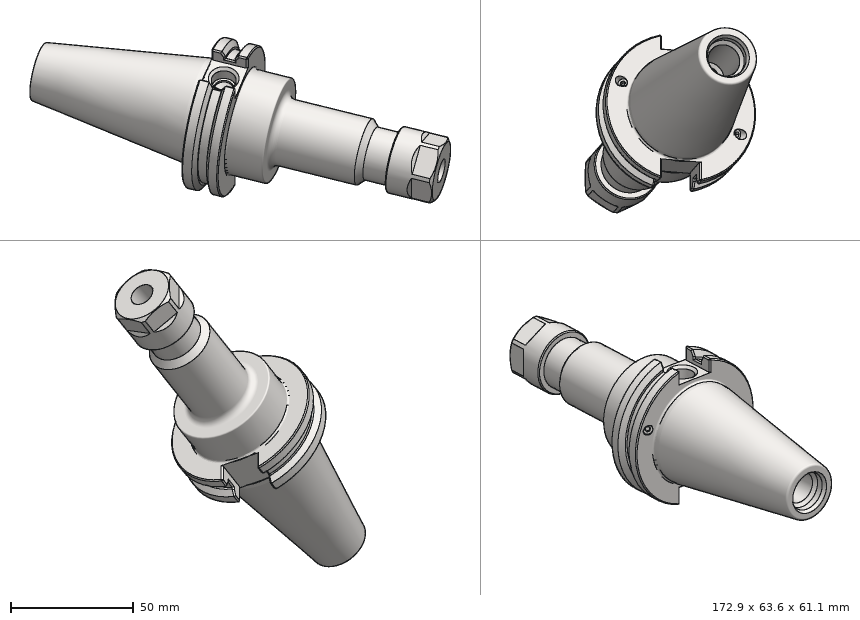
import cadquery as cq
import math


GAUGE_RADIUS = 44.45 / 2
TAPER_LENGTH = 68.4
TAPER_SLOPE = 7 / 24 / 2
TAIL_FILLET = 1.0

FLANGE_START = 3.2
FLANGE_WIDTH = 15.6
FLANGE_RADIUS = 63.55 / 2
FLANGE_EDGE = 0.5
FLANGE_FILLET = 0.8
FLANGE_END = FLANGE_START + FLANGE_WIDTH
GROOVE_CENTRE = 11.1
GROOVE_MOUTH = 7.0
GROOVE_FLOOR_WIDTH = 3.9
GROOVE_FLOOR_RADIUS = 56.25 / 2
GROOVE_FLANK_ANGLE = 30

COLLAR_RADIUS = GAUGE_RADIUS
COLLAR_END = 35.0
COLLAR_FILLET = 0.6
SHANK_RADIUS = 14.0
SHANK_FILLET = 3.0
NECK_RADIUS = 11.2
NECK_START = 74.4
SHOULDER_LENGTH = SHANK_RADIUS - NECK_RADIUS

NUT_LENGTH = 19.8
OVERALL_LENGTH = 172.9
NUT_END = OVERALL_LENGTH - TAPER_LENGTH
NUT_START = NUT_END - NUT_LENGTH
NUT_RADIUS = 14.0
NUT_REAR_CHAMFER = 0.5
NUT_FRONT_CHAMFER = 1.2
NUT_FACE_RADIUS = 12.3
FLAT_COUNT = 6
FLAT_DISTANCE = 25.1 / 2
FLAT_LENGTH = 8.8
NECK_IN_NUT = 10.0

BORE_RADIUS = 10.0 / 2
MOUTH_RADIUS = 18.2 / 2
PILOT_RADIUS = 16.46 / 2
THREAD_RADIUS = 13.39 / 2
MOUTH_DEPTH = 1.7
PILOT_DEPTH = 4.6
THREAD_START_DEPTH = 6.0
THREAD_DEPTH = 30.0
THREAD_TIP_DEPTH = 31.0

SLOT_WIDTH = 16.0
SLOT_CHAMFER = 0.7
TOP_SLOT_FLOOR = 24.5
BOTTOM_SLOT_FLOOR = 22.6

CHIP_HOLE_MOUTH_RADIUS = 12.5 / 2
CHIP_HOLE_RADIUS = 10.13 / 2
CHIP_HOLE_DEPTH = 6.0
CHIP_DRILL_RADIUS = 4.0
CHIP_DRILL_DEPTH = 7.0
DRILL_TIP_ANGLE = 118

PORT_RADIUS = 4.2 / 2
PORT_CIRCLE_RADIUS = 26.9
PORT_ANGLE = 20
PORT_TILT = 36
PORT_DEPTH = 6.0
SCREW_RECESS = 1.8
SOCKET_WIDTH = 2.0
SOCKET_DEPTH = 1.5


def turned(points):
    """Solid of revolution about the X axis from (x, radius) points."""
    return cq.Workplane("XY").polyline(points).close().revolve(360, (0, 0, 0), (1, 0, 0))


def taper_shank():
    tail = -TAPER_LENGTH
    tail_radius = GAUGE_RADIUS - TAPER_LENGTH * TAPER_SLOPE
    fillet_end_radius = tail_radius + TAIL_FILLET * TAPER_SLOPE
    profile = (
        cq.Workplane("XY")
        .moveTo(tail, 0)
        .lineTo(tail, fillet_end_radius - TAIL_FILLET)
        .radiusArc((tail + TAIL_FILLET, fillet_end_radius), TAIL_FILLET)
        .lineTo(0, GAUGE_RADIUS)
        .lineTo(FLANGE_START, GAUGE_RADIUS)
        .lineTo(FLANGE_START, 0)
        .close()
    )
    return profile.revolve(360, (0, 0, 0), (1, 0, 0))


def flange():
    mouth = GROOVE_MOUTH / 2
    floor = GROOVE_FLOOR_WIDTH / 2
    wall_top = FLANGE_RADIUS - (mouth - floor) / math.tan(math.radians(GROOVE_FLANK_ANGLE))
    return turned([
        (FLANGE_START, 0),
        (FLANGE_START, FLANGE_RADIUS - FLANGE_EDGE),
        (FLANGE_START + FLANGE_EDGE, FLANGE_RADIUS),
        (GROOVE_CENTRE - mouth, FLANGE_RADIUS),
        (GROOVE_CENTRE - floor, wall_top),
        (GROOVE_CENTRE - floor, GROOVE_FLOOR_RADIUS),
        (GROOVE_CENTRE + floor, GROOVE_FLOOR_RADIUS),
        (GROOVE_CENTRE + floor, wall_top),
        (GROOVE_CENTRE + mouth, FLANGE_RADIUS),
        (FLANGE_END - FLANGE_EDGE, FLANGE_RADIUS),
        (FLANGE_END, FLANGE_RADIUS - FLANGE_EDGE),
        (FLANGE_END, 0),
    ])


def flange_fillet(face_x, side):
    """Fillet ring between a cylinder of collar size and a flange face; side is the way the face looks."""
    arc_offset = FLANGE_FILLET * (1 - math.sqrt(0.5))
    return (
        cq.Workplane("XY")
        .moveTo(face_x, COLLAR_RADIUS)
        .lineTo(face_x, COLLAR_RADIUS + FLANGE_FILLET)
        .threePointArc(
            (face_x + side * arc_offset, COLLAR_RADIUS + arc_offset),
            (face_x + side * FLANGE_FILLET, COLLAR_RADIUS),
        )
        .close()
        .revolve(360, (0, 0, 0), (1, 0, 0))
    )


def drive_slot(floor_height, side):
    """Cutter for one slot; side is +1 for the +Z slot and -1 for the -Z slot."""
    depth = FLANGE_RADIUS
    return cq.Workplane("XY").box(FLANGE_WIDTH, SLOT_WIDTH, depth).translate(
        (FLANGE_START + FLANGE_WIDTH / 2, 0, side * (floor_height + depth / 2))
    )


def slotted_flange():
    """Flange with both drive slots, the edges of the slot walls chamfered."""
    body = flange().cut(drive_slot(TOP_SLOT_FLOOR, 1)).cut(drive_slot(BOTTOM_SLOT_FLOOR, -1))
    wall_edges = [
        edge
        for edge in body.faces("|Y").edges().vals()
        if edge.Center().z > TOP_SLOT_FLOOR + SLOT_CHAMFER
        or edge.Center().z < -BOTTOM_SLOT_FLOOR - SLOT_CHAMFER
    ]
    return body.newObject(wall_edges).chamfer(SLOT_CHAMFER)


def front_shank():
    fillet_end = COLLAR_END + SHANK_FILLET
    arc_offset = SHANK_FILLET * (1 - math.sqrt(0.5))
    neck_end = NUT_START + NECK_IN_NUT
    profile = (
        cq.Workplane("XY")
        .moveTo(FLANGE_START, 0)
        .lineTo(FLANGE_START, COLLAR_RADIUS)
        .lineTo(COLLAR_END - COLLAR_FILLET, COLLAR_RADIUS)
        .radiusArc((COLLAR_END, COLLAR_RADIUS - COLLAR_FILLET), COLLAR_FILLET)
        .lineTo(COLLAR_END, SHANK_RADIUS + SHANK_FILLET)
        .threePointArc(
            (COLLAR_END + arc_offset, SHANK_RADIUS + arc_offset),
            (fillet_end, SHANK_RADIUS),
        )
        .lineTo(NECK_START - SHOULDER_LENGTH, SHANK_RADIUS)
        .lineTo(NECK_START, NECK_RADIUS)
        .lineTo(neck_end, NECK_RADIUS)
        .lineTo(neck_end, 0)
        .close()
    )
    return profile.revolve(360, (0, 0, 0), (1, 0, 0))


def axial_bore():
    tail = -TAPER_LENGTH
    return turned([
        (tail, 0),
        (tail, MOUTH_RADIUS),
        (tail + MOUTH_DEPTH, PILOT_RADIUS),
        (tail + PILOT_DEPTH, PILOT_RADIUS),
        (tail + THREAD_START_DEPTH, THREAD_RADIUS),
        (tail + THREAD_DEPTH, THREAD_RADIUS),
        (tail + THREAD_TIP_DEPTH, BORE_RADIUS),
        (NUT_END, BORE_RADIUS),
        (NUT_END, 0),
    ])


def chip_hole():
    """Cutter with its axis along Z, drilled down from the floor of the top slot."""
    top = TOP_SLOT_FLOOR
    chamfer = CHIP_HOLE_MOUTH_RADIUS - CHIP_HOLE_RADIUS
    tip = CHIP_DRILL_RADIUS / math.tan(math.radians(DRILL_TIP_ANGLE / 2))
    profile = cq.Workplane("XZ").polyline([
        (0, top),
        (CHIP_HOLE_MOUTH_RADIUS, top),
        (CHIP_HOLE_RADIUS, top - chamfer),
        (CHIP_HOLE_RADIUS, top - CHIP_HOLE_DEPTH),
        (CHIP_DRILL_RADIUS, top - CHIP_HOLE_DEPTH),
        (CHIP_DRILL_RADIUS, top - CHIP_DRILL_DEPTH),
        (0, top - CHIP_DRILL_DEPTH - tip),
    ]).close()
    cutter = profile.revolve(360, (0, 0, 0), (0, 1, 0))
    return cutter.translate((GROOVE_CENTRE, 0, 0))


def port_plane(angle):
    """Plane at the mouth of a port, with its normal slanting inwards towards the axis."""
    radial = cq.Vector(0, math.cos(math.radians(angle)), math.sin(math.radians(angle)))
    tilt = math.radians(PORT_TILT)
    inwards = cq.Vector(math.cos(tilt), 0, 0) - radial * math.sin(tilt)
    sideways = cq.Vector(1, 0, 0).cross(radial)
    mouth = cq.Vector(FLANGE_START, 0, 0) + radial * PORT_CIRCLE_RADIUS
    return cq.Plane(origin=mouth, xDir=sideways, normal=inwards)


def coolant_port(angle):
    """Cutter for one slanted port, starting outside the flange face."""
    start = -2 * PORT_RADIUS
    return (
        cq.Workplane(port_plane(angle)).workplane(offset=start)
        .circle(PORT_RADIUS).extrude(PORT_DEPTH - start)
    )


def set_screw(angle):
    """Screw with a hexagon socket, resting on the bottom of its port."""
    socket_diameter = SOCKET_WIDTH / math.cos(math.pi / 6)
    head = cq.Workplane(port_plane(angle)).workplane(offset=SCREW_RECESS)
    body = head.circle(PORT_RADIUS).extrude(PORT_DEPTH - SCREW_RECESS)
    return body.cut(head.polygon(6, socket_diameter).extrude(SOCKET_DEPTH))


def clamping_nut():
    nut = turned([
        (NUT_START, 0),
        (NUT_START, NUT_RADIUS - NUT_REAR_CHAMFER),
        (NUT_START + NUT_REAR_CHAMFER, NUT_RADIUS),
        (NUT_END - NUT_FRONT_CHAMFER, NUT_RADIUS),
        (NUT_END, NUT_FACE_RADIUS),
        (NUT_END, 0),
    ])
    flat_start = NUT_END - FLAT_LENGTH
    run_out = NUT_RADIUS - FLAT_DISTANCE
    flat_cutter = (
        cq.Workplane("XY")
        .polyline([
            (flat_start, -FLAT_DISTANCE),
            (flat_start - run_out, -NUT_RADIUS),
            (NUT_END, -NUT_RADIUS),
            (NUT_END, -FLAT_DISTANCE),
        ])
        .close()
        .extrude(NUT_RADIUS, both=True)
    )
    for index in range(FLAT_COUNT):
        nut = nut.cut(flat_cutter.rotate((0, 0, 0), (1, 0, 0), index * 360 / FLAT_COUNT))
    neck_recess = (
        cq.Workplane("YZ").workplane(offset=NUT_START)
        .circle(NECK_RADIUS).extrude(NECK_IN_NUT)
    )
    return nut.cut(neck_recess).cut(axial_bore())


PORT_ANGLES = [PORT_ANGLE, PORT_ANGLE + 180]

holder = slotted_flange().union(taper_shank()).union(front_shank())
holder = holder.union(flange_fillet(FLANGE_START, -1)).union(flange_fillet(FLANGE_END, 1))
holder = holder.cut(axial_bore()).cut(chip_hole())
for port_angle in PORT_ANGLES:
    holder = holder.cut(coolant_port(port_angle))

nut = clamping_nut()
screws = [set_screw(port_angle) for port_angle in PORT_ANGLES]

result = cq.Compound.makeCompound([holder.val(), nut.val(), *[screw.val() for screw in screws]])